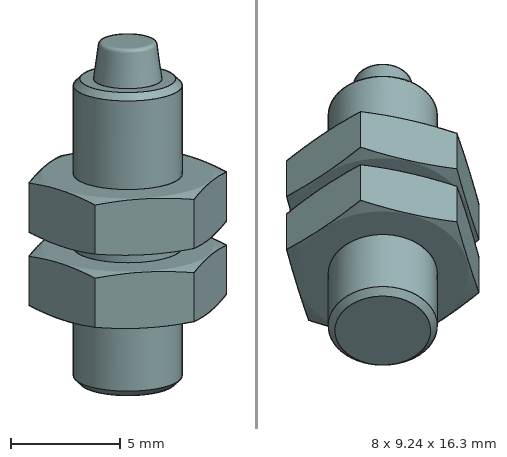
import cadquery as cq
import math

total_height = 16.3
barrel_diameter = 5.0
barrel_height = 14.5
barrel_chamfer = 0.31
tip_base_diameter = 3.15
tip_top_diameter = 2.65
tip_rounding = 0.2

nut_across_flats = 8.0
nut_thickness = 2.7
nut_face_diameter = 7.9
nut_chamfer_height = 0.18
nut_gap = 0.8
lower_nut_base = 3.75

nut_across_corners = nut_across_flats / math.cos(math.radians(30))
nut_bases = [lower_nut_base, lower_nut_base + nut_thickness + nut_gap]


def make_barrel():
    """Barrel chamfered at both ends, carrying the tapered tip with a rounded top edge."""
    radius = barrel_diameter / 2
    end_radius = radius - barrel_chamfer
    barrel = (
        cq.Workplane("XZ")
        .moveTo(0, 0)
        .lineTo(end_radius, 0)
        .lineTo(radius, barrel_chamfer)
        .lineTo(radius, barrel_height - barrel_chamfer)
        .lineTo(end_radius, barrel_height)
        .lineTo(tip_base_diameter / 2, barrel_height)
        .lineTo(tip_top_diameter / 2, total_height)
        .lineTo(0, total_height)
        .close()
        .revolve(360, (0, 0), (0, 1))
    )
    return barrel.faces(">Z").edges().fillet(tip_rounding)


def make_nut(base):
    """Hexagon nut with its corners on the Y axis, coned at both faces and bored for the barrel."""
    hexagon = (
        cq.Workplane("XY")
        .polygon(6, nut_across_corners)
        .extrude(nut_thickness)
        .rotate((0, 0, 0), (0, 0, 1), 30)
    )
    face_radius = nut_face_diameter / 2
    corner_radius = nut_across_corners / 2
    cone_envelope = (
        cq.Workplane("XZ")
        .moveTo(0, 0)
        .lineTo(face_radius, 0)
        .lineTo(corner_radius, nut_chamfer_height)
        .lineTo(corner_radius, nut_thickness - nut_chamfer_height)
        .lineTo(face_radius, nut_thickness)
        .lineTo(0, nut_thickness)
        .close()
        .revolve(360, (0, 0), (0, 1))
    )
    bore = cq.Workplane("XY").circle(barrel_diameter / 2).extrude(nut_thickness)
    return hexagon.intersect(cone_envelope).cut(bore).translate((0, 0, base))


barrel = make_barrel()
nuts = [make_nut(base) for base in nut_bases]

result = cq.Compound.makeCompound([barrel.val(), *[nut.val() for nut in nuts]])